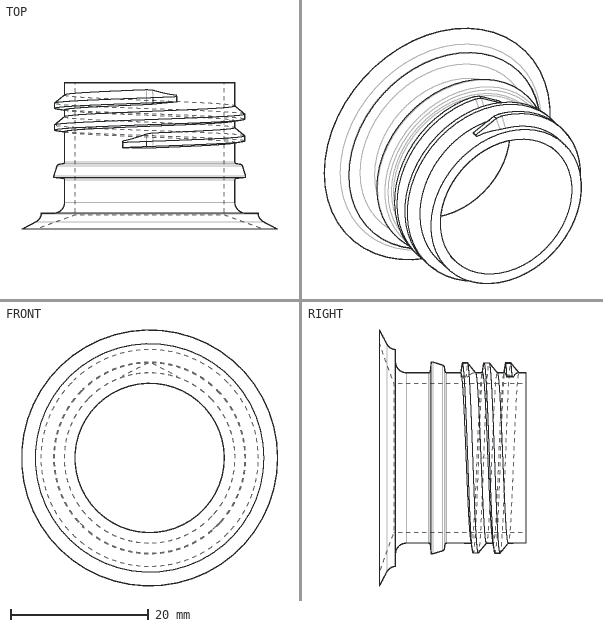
import cadquery as cq
import math


total_length = 21.3
neck_radius = 12.4
bore_radius = 10.85
mouth_radius = 16.6
mouth_depth = 2.1

flange_radius = 18.63
lip_top_radius = 16.58
lip_height = 1.08
shoulder_radius = 15.8
shoulder_height = 2.35
shoulder_land = 0.15
neck_fillet = 1.55

collar_radius = 13.97
collar_rim_bottom = 7.53
collar_rim_top = 7.75
collar_upper_radius = 13.53
collar_upper_height = 9.15
collar_shelf_radius = 13.15
collar_shelf_height = 9.45
collar_root_radius = 12.63
collar_root_bottom = 7.38
collar_root_top = 9.55
collar_root_fillet = 0.22

pitch = 3.15
turns = 2
crest_radius = 13.85
crest_bottom = 12.05
crest_width = 0.75
upper_flank = 1.38
lower_flank = 0.25
runout_upper_flank = 0.52
runout_lower_flank = 0.07
root_overlap = 0.22
runout_length = 3.95
runout_crest_radius = 12.55
root_radius = neck_radius - root_overlap
blend_angle = 2.0
runout_angle = math.degrees(math.asin(runout_length / runout_crest_radius))


def turned_body():
    corner = math.sqrt(0.5)
    fillet_top = shoulder_height + neck_fillet
    fillet_middle = (
        neck_radius + neck_fillet * (1 - corner),
        fillet_top - neck_fillet * corner,
    )
    return (
        cq.Workplane("XZ")
        .moveTo(mouth_radius, 0)
        .lineTo(flange_radius, 0)
        .lineTo(lip_top_radius, lip_height)
        .tangentArcPoint((shoulder_radius, shoulder_height - shoulder_land), relative=False)
        .lineTo(shoulder_radius, shoulder_height)
        .lineTo(neck_radius + neck_fillet, shoulder_height)
        .threePointArc(fillet_middle, (neck_radius, fillet_top))
        .lineTo(neck_radius, collar_root_bottom - collar_root_fillet)
        .tangentArcPoint((collar_root_radius, collar_root_bottom), relative=False)
        .lineTo(collar_radius, collar_rim_bottom)
        .lineTo(collar_radius, collar_rim_top)
        .lineTo(collar_upper_radius, collar_upper_height)
        .tangentArcPoint((collar_shelf_radius, collar_shelf_height), relative=False)
        .lineTo(collar_root_radius, collar_root_top)
        .tangentArcPoint((neck_radius, collar_root_top + collar_root_fillet), relative=False)
        .lineTo(neck_radius, total_length)
        .lineTo(bore_radius, total_length)
        .lineTo(bore_radius, mouth_depth)
        .close()
        .revolve(360, (0, 0, 0), (0, 1, 0))
    )


def thread_section(fade, base):
    """Corners (radius, height) of the ridge; fade runs from 0 (full) to 1 (end of the runout)."""
    crest = crest_radius + fade * (runout_crest_radius - crest_radius)
    upper = upper_flank + fade * (runout_upper_flank - upper_flank)
    lower = lower_flank + fade * (runout_lower_flank - lower_flank)
    return [
        (root_radius, base - lower),
        (crest, base),
        (crest, base + crest_width),
        (root_radius, base + crest_width + upper),
    ]


def section_wire(fade, base, angle):
    """Ridge section turned about the axis and moved along the helix by the given angle."""
    turn = math.radians(angle)
    section = thread_section(fade, base + pitch * angle / 360)
    points = [
        cq.Vector(radius * math.cos(turn), radius * math.sin(turn), height)
        for radius, height in section
    ]
    return cq.Wire.makePolygon(points, close=True)


def thread_runout(base, direction):
    """Ridge end: a short blend facet, then a straight fade into the neck."""
    full = section_wire(0, base, -direction * blend_angle)
    blended = section_wire(blend_angle / runout_angle, base, direction * blend_angle)
    faded = section_wire(1, base, direction * runout_angle)
    return cq.Workplane(cq.Solid.makeLoft([full, blended, faded], True))


def thread():
    ridge_turns = turns - 2 * blend_angle / 360
    path = cq.Wire.makeHelix(pitch, pitch * ridge_turns, neck_radius)
    ridge = (
        cq.Workplane("XZ")
        .polyline(thread_section(0, 0))
        .close()
        .sweep(cq.Workplane(path), isFrenet=True)
        .rotate((0, 0, 0), (0, 0, 1), blend_angle)
        .translate((0, 0, crest_bottom + pitch * blend_angle / 360))
    )
    lower_end = thread_runout(crest_bottom, -1)
    upper_end = thread_runout(crest_bottom + pitch * turns, 1)
    return ridge.union(lower_end).union(upper_end).rotate((0, 0, 0), (0, 0, 1), -90)


result = turned_body().union(thread()).rotate((0, 0, 0), (1, 0, 0), -90)